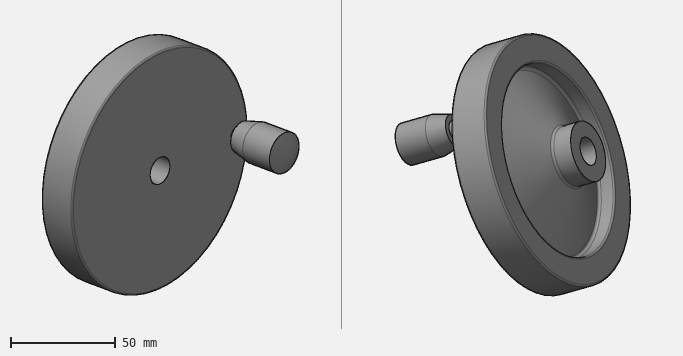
import cadquery as cq

wheel_diameter = 125.0
wheel_radius = wheel_diameter / 2
rim_start = 17.2
rim_end = 37.1
rim_edge_radius = 0.9
rim_inner_radius = 96.4 / 2
rim_mouth_radius = 0.9

hub_radius = 30.0 / 2
hub_length = 10.7
bore_diameter = 14.0
hub_root_radius = 1.5

web_slope = 0.49
web_end = hub_length + web_slope * (rim_inner_radius - hub_radius)
web_corner_radius = 1.3

overall_width = 128.3
handle_radius = 21.0 / 2
handle_offset = overall_width - wheel_radius - handle_radius
shank_radius = 10.1 / 2
grip_start = 39.8
grip_neck_radius = 8.1
grip_taper_end = 49.8
grip_body_end = 67.2
grip_end = 69.7


def make_wheel():
    """Revolve the rim, web and hub; profile x is axial and y is radial."""
    profile = (
        cq.Workplane("XY")
        .moveTo(0, 0)
        .lineTo(0, hub_radius)
        .lineTo(hub_length, hub_radius)
        .lineTo(web_end, rim_inner_radius)
        .lineTo(rim_start, rim_inner_radius)
        .lineTo(rim_start, wheel_radius)
        .lineTo(rim_end, wheel_radius)
        .lineTo(rim_end, 0)
        .close()
    )
    wheel = profile.revolve(360, (0, 0, 0), (1, 0, 0))

    def circle_at(x, radius):
        """Select the circular edges at x that lie within the given radius."""
        size = 0.1
        return cq.selectors.BoxSelector(
            (x - size, -radius - size, -radius - size),
            (x + size, radius + size, radius + size),
            boundingbox=True,
        )

    wheel = wheel.edges(circle_at(hub_length, hub_radius)).fillet(hub_root_radius)
    wheel = wheel.edges(circle_at(web_end, rim_inner_radius)).fillet(web_corner_radius)
    wheel = wheel.edges(circle_at(rim_start, rim_inner_radius)).fillet(rim_mouth_radius)
    for x in (rim_start, rim_end):
        outer_edge = circle_at(x, wheel_radius) - circle_at(x, rim_inner_radius + rim_mouth_radius)
        wheel = wheel.edges(outer_edge).fillet(rim_edge_radius)
    return wheel


def make_handle():
    """Revolve the shank and the domed, tapered grip about the handle axis."""
    dome_rise = grip_end - grip_body_end
    dome_radius = (handle_radius**2 + dome_rise**2) / (2 * dome_rise)
    return (
        cq.Workplane("XY")
        .moveTo(rim_start + rim_edge_radius, 0)
        .lineTo(rim_start + rim_edge_radius, shank_radius)
        .lineTo(grip_start, shank_radius)
        .lineTo(grip_start, grip_neck_radius)
        .lineTo(grip_taper_end, handle_radius)
        .lineTo(grip_body_end, handle_radius)
        .radiusArc((grip_end, 0), dome_radius)
        .close()
        .revolve(360, (0, 0, 0), (1, 0, 0))
        .translate((0, handle_offset, 0))
    )


bore = cq.Workplane("YZ").circle(bore_diameter / 2).extrude(rim_end)
result = make_wheel().cut(bore).union(make_handle())